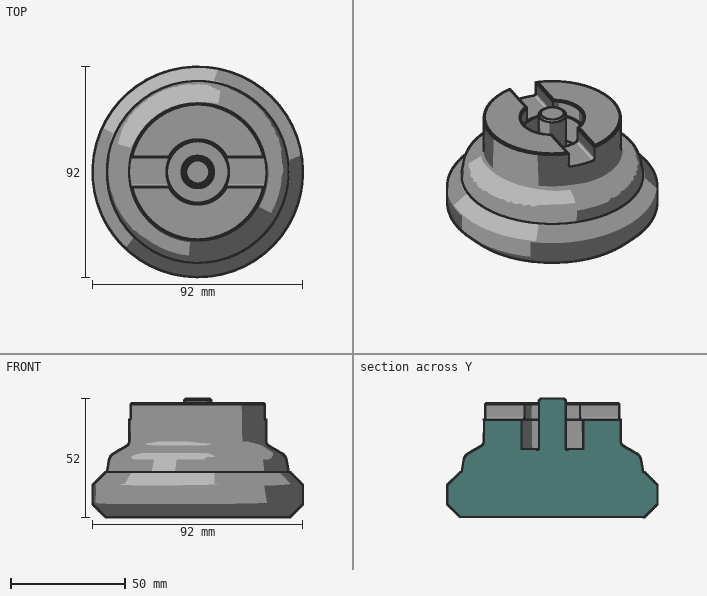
import cadquery as cq
import math

flange_radius = 46.0
flange_face_radius = 40.2
flange_height = 20.0
flange_bevel = flange_radius - flange_face_radius
flange_edge_round = 0.8

hub_radius = 39.75
hub_taper = math.radians(10)
shoulder_slope = math.radians(30)
shoulder_round = 4.05
boss_radius = 30.0
boss_top = 50.0
neck_height = 31.9
neck_fillet = 2.0
edge_chamfer = 0.55

slot_width = 12.5
slot_depth = 7.2
slot_floor_fillet = 1.0

pocket_radius = 13.4
pocket_mouth_radius = 13.7
pocket_depth = 20.0

pin_radius = 6.0
pin_top = 52.0
pin_chamfer = 0.9
groove_half_width = 0.55

slot_floor = boss_top - slot_depth
pocket_floor = boss_top - pocket_depth


def revolve_profile(profile):
    """Turn a closed radius-height profile around the Z axis."""
    return profile.close().revolve(360, (0, 0, 0), (0, 1, 0))


def rings_at(height, radius):
    """Select the edges that lie within the thin flat box around one circle."""
    reach = 0.05
    return cq.selectors.BoxSelector(
        (-radius - reach, -radius - reach, height - reach),
        (radius + reach, radius + reach, height + reach),
        boundingbox=True,
    )


def make_flange():
    disc = cq.Workplane("XY").circle(flange_radius).extrude(flange_height)
    beveled = disc.faces("<Z or >Z").chamfer(flange_bevel)
    return beveled.edges("%CIRCLE").fillet(flange_edge_round)


def make_hub():
    rise = neck_height - flange_height
    taper = math.tan(hub_taper)
    slope = math.tan(shoulder_slope)
    drop_run = (hub_radius - boss_radius - rise * taper) / (1 - slope * taper)
    shoulder_radius = boss_radius + drop_run
    shoulder_height = neck_height - drop_run * slope

    hub = revolve_profile(
        cq.Workplane("XZ")
        .moveTo(0, flange_height)
        .lineTo(hub_radius, flange_height)
        .lineTo(shoulder_radius, shoulder_height)
        .lineTo(boss_radius, neck_height)
        .lineTo(boss_radius, boss_top)
        .lineTo(0, boss_top)
    )
    hub = hub.edges(rings_at(shoulder_height, shoulder_radius)).fillet(shoulder_round)
    return hub.edges(rings_at(neck_height, boss_radius)).fillet(neck_fillet)


def make_slot():
    return (
        cq.Workplane("XY", origin=(0, 0, slot_floor))
        .rect(2 * flange_radius, slot_width)
        .extrude(slot_depth)
        .edges("|X and <Z")
        .fillet(slot_floor_fillet)
    )


def make_pocket():
    step = pocket_mouth_radius - pocket_radius
    return revolve_profile(
        cq.Workplane("XZ")
        .moveTo(0, pocket_floor)
        .lineTo(pocket_radius, pocket_floor)
        .lineTo(pocket_radius, slot_floor - step)
        .lineTo(pocket_mouth_radius, slot_floor)
        .lineTo(pocket_mouth_radius, boss_top)
        .lineTo(0, boss_top)
    )


def make_pin():
    return (
        cq.Workplane("XY", origin=(0, 0, pocket_floor))
        .circle(pin_radius)
        .extrude(pin_top - pocket_floor)
        .faces(">Z")
        .chamfer(pin_chamfer)
    )


def make_pin_groove():
    return revolve_profile(
        cq.Workplane("XZ")
        .moveTo(pin_radius, pocket_floor)
        .lineTo(pin_radius + groove_half_width, pocket_floor - groove_half_width)
        .lineTo(pin_radius + 2 * groove_half_width, pocket_floor)
    )


body = make_flange().union(make_hub())
body = body.cut(make_slot()).cut(make_pocket())

body = body.faces(">Z").chamfer(edge_chamfer)

result = body.union(make_pin()).cut(make_pin_groove())